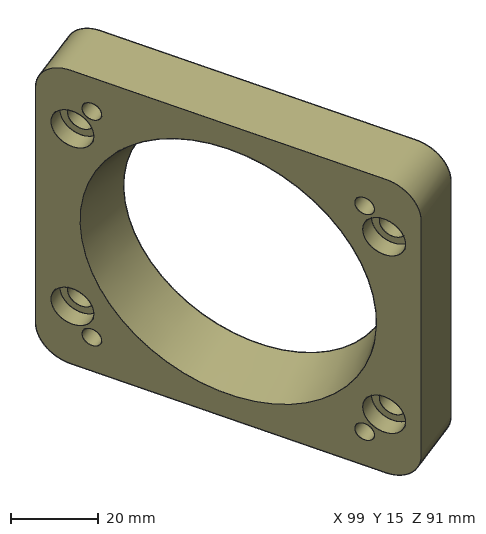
import cadquery as cq

width = 99.0
height = 91.0
thickness = 15.0
corner_radius = 9.0

bore_front_diameter = 76.0
bore_back_diameter = 69.0

mount_spacing_x = 80.0
mount_spacing_z = 55.0
mount_diameter = 7.0
counterbore_diameter = 11.0
counterbore_depth = 4.5

pin_spacing = 70.0
pin_diameter = 5.0


def make_plate():
    """Rectangular plate with rounded corners."""
    plate = cq.Workplane("XY").box(width, thickness, height, centered=(True, False, True))
    return plate.edges("|Y").fillet(corner_radius)


def make_tapered_bore():
    """Cone frustum that removes the central opening."""
    return cq.Workplane("XY").add(
        cq.Solid.makeCone(
            bore_front_diameter / 2,
            bore_back_diameter / 2,
            thickness,
            pnt=cq.Vector(0, 0, 0),
            dir=cq.Vector(0, 1, 0),
        )
    )


plate = make_plate().cut(make_tapered_bore())

front = cq.Workplane("XZ")
plate = (
    plate.copyWorkplane(front)
    .rarray(mount_spacing_x, mount_spacing_z, 2, 2)
    .cboreHole(mount_diameter, counterbore_diameter, counterbore_depth)
)
result = (
    plate.copyWorkplane(front)
    .rarray(pin_spacing, pin_spacing, 2, 2)
    .hole(pin_diameter)
)